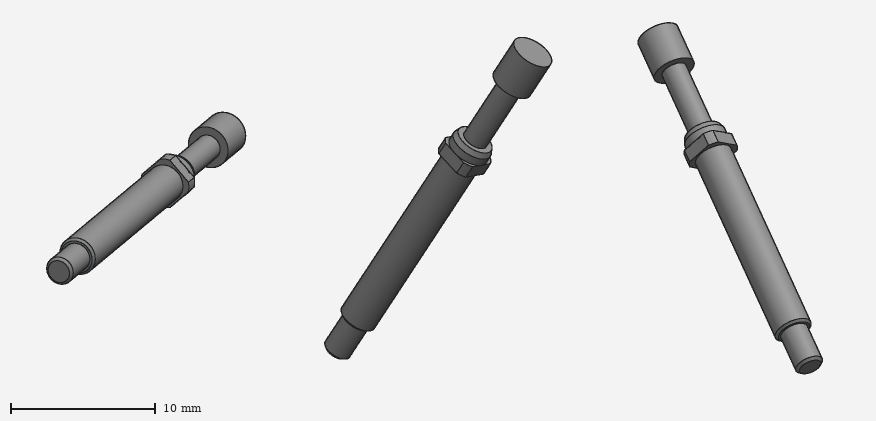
import cadquery as cq

total_length = 28.3

head_diameter = 3.0
head_length = 3.0
rod_diameter = 1.8
rod_length = 5.3

collar_diameter = 3.03
collar_length = 1.02
collar_chamfer_width = 0.17
collar_chamfer_length = 0.42

nut_across_flats = 3.0
nut_corner_diameter = 3.6
nut_thickness = 1.0

barrel_diameter = 2.7
barrel_chamfer = 0.17
tail_diameter = 2.0
tail_length = 3.0
tail_chamfer = 0.2

head_end = total_length / 2
rod_start = head_end - head_length
collar_start = rod_start - rod_length
nut_start = collar_start - collar_length
barrel_start = nut_start - nut_thickness
tail_end = -total_length / 2
tail_start = tail_end + tail_length


def cylinder(diameter, y_from, y_to):
    """Round bar along Y between two stations, y_from being the higher one."""
    return cq.Workplane("XZ", origin=(0, y_from, 0)).circle(diameter / 2).extrude(y_from - y_to)


def make_plunger():
    head = cylinder(head_diameter, head_end, rod_start)
    rod = cylinder(rod_diameter, rod_start, collar_start)
    return head.union(rod)


def make_collar():
    collar = cylinder(collar_diameter, collar_start, nut_start)
    return collar.faces(">Y").chamfer(collar_chamfer_length, collar_chamfer_width)


def make_nut():
    """Square nut standing on its corner, with the corners turned round about the pin axis."""
    square = (
        cq.Workplane("XZ", origin=(0, nut_start, 0))
        .rect(nut_across_flats, nut_across_flats)
        .extrude(nut_thickness)
        .rotate((0, 0, 0), (0, 1, 0), 45)
    )
    return square.intersect(cylinder(nut_corner_diameter, nut_start, barrel_start))


def make_barrel():
    barrel = cylinder(barrel_diameter, barrel_start, tail_start)
    return barrel.faces("<Y").chamfer(barrel_chamfer)


def make_tail():
    tail = cylinder(tail_diameter, tail_start, tail_end)
    return tail.faces("<Y").chamfer(tail_chamfer)


result = make_plunger().union(make_collar()).union(make_nut()).union(make_barrel()).union(make_tail())